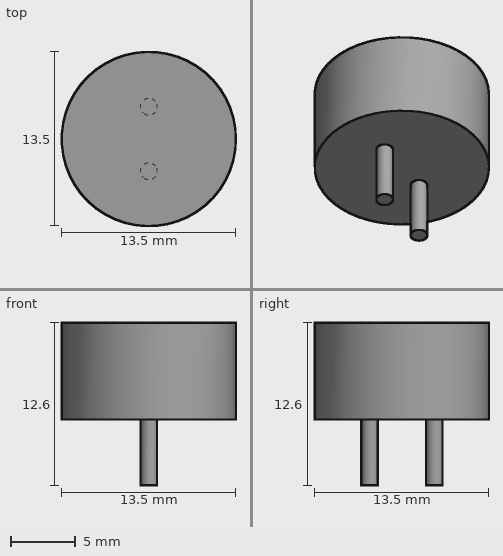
import cadquery as cq

body_diameter = 13.5
body_height = 7.5
total_height = 12.6
pin_diameter = 1.3
pin_spacing = 5.0

pin_length = total_height - body_height


def make_housing():
    """Plain round housing standing on the Z = 0 plane."""
    return cq.Workplane("XY").circle(body_diameter / 2).extrude(body_height)


def make_pin(y_position):
    """Round pin hanging from the underside of the housing."""
    return cq.Workplane("XY").center(0, y_position).circle(pin_diameter / 2).extrude(-pin_length)


housing = make_housing()

pins = []
for side in (-1, 1):
    pins.append(make_pin(side * pin_spacing / 2))

result = cq.Compound.makeCompound([housing.val(), *[pin.val() for pin in pins]])